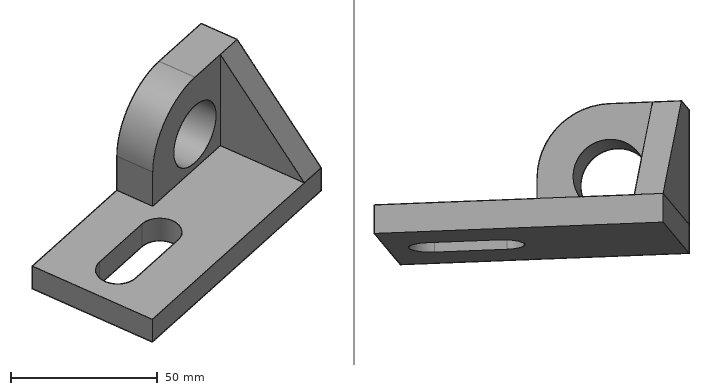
import cadquery as cq

plate_width = 50.0
plate_length = 100.0
plate_thickness = 10.0

slot_width = 15.0
slot_length = 40.0
slot_front_margin = 7.5

lug_thickness = 15.0
lug_length = plate_length / 2
lug_top = 50.0
lug_corner_radius = lug_length / 2
bore_diameter = 25.0

rib_thickness = 10.0

lug_front = plate_length - lug_length
bore_y = lug_front + lug_corner_radius
bore_z = lug_top - lug_corner_radius


def make_plate():
    """Flat rectangular plate with a through slot running along Y."""
    plate = cq.Workplane("XY").box(plate_width, plate_length, plate_thickness, centered=False)
    slot = (
        cq.Workplane("XY")
        .center(plate_width / 2, slot_front_margin + slot_length / 2)
        .slot2D(slot_length, slot_width, 90)
        .extrude(plate_thickness)
    )
    return plate.cut(slot)


def make_lug():
    """Upright block with a rounded upper front corner and a bore along X."""
    block = (
        cq.Workplane("XY")
        .box(lug_thickness, lug_length, lug_top - plate_thickness, centered=False)
        .translate((0, lug_front, plate_thickness))
        .edges("|X and >Z and <Y")
        .fillet(lug_corner_radius)
    )
    bore = (
        cq.Workplane("YZ")
        .center(bore_y, bore_z)
        .circle(bore_diameter / 2)
        .extrude(lug_thickness)
    )
    return block.cut(bore)


def make_rib():
    """Triangular gusset from the top of the lug down to the +X edge of the plate."""
    return (
        cq.Workplane("XZ", origin=(0, plate_length, 0))
        .moveTo(lug_thickness, plate_thickness)
        .lineTo(plate_width, plate_thickness)
        .lineTo(lug_thickness, lug_top)
        .close()
        .extrude(rib_thickness)
    )


def make_upright():
    """Lug and its rib as one solid resting on the plate."""
    return make_lug().union(make_rib())


plate = make_plate()
upright = make_upright()

result = cq.Compound.makeCompound([*plate.vals(), *upright.vals()])